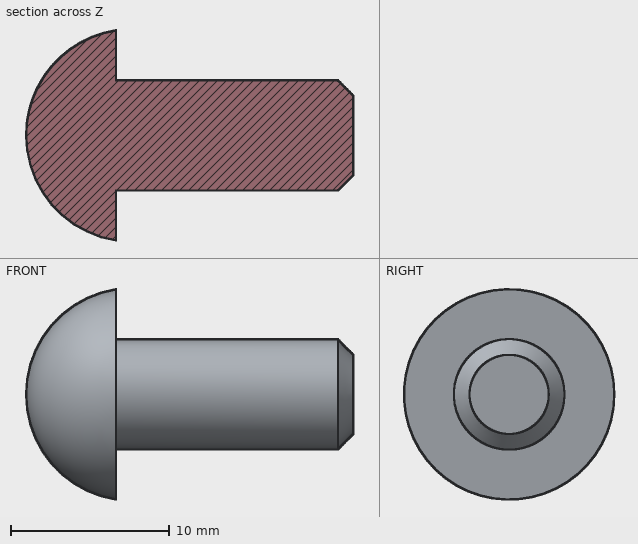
import cadquery as cq
import math

total_length = 20.7
head_diameter = 13.3
head_height = 5.7
shank_diameter = 7.0
tip_chamfer = 1.0

head_radius = head_diameter / 2
shank_radius = shank_diameter / 2
shank_length = total_length - head_height

dome_radius = (head_radius**2 + head_height**2) / (2 * head_height)
dome_center_x = dome_radius - head_height
arc_mid_angle = math.asin(head_radius / dome_radius) / 2
arc_midpoint = (
    dome_center_x - dome_radius * math.cos(arc_mid_angle),
    dome_radius * math.sin(arc_mid_angle),
)

profile = (
    cq.Workplane("XY")
    .moveTo(-head_height, 0)
    .threePointArc(arc_midpoint, (0, head_radius))
    .lineTo(0, shank_radius)
    .lineTo(shank_length - tip_chamfer, shank_radius)
    .lineTo(shank_length, shank_radius - tip_chamfer)
    .lineTo(shank_length, 0)
    .close()
)
result = profile.revolve(360, (0, 0, 0), (1, 0, 0))